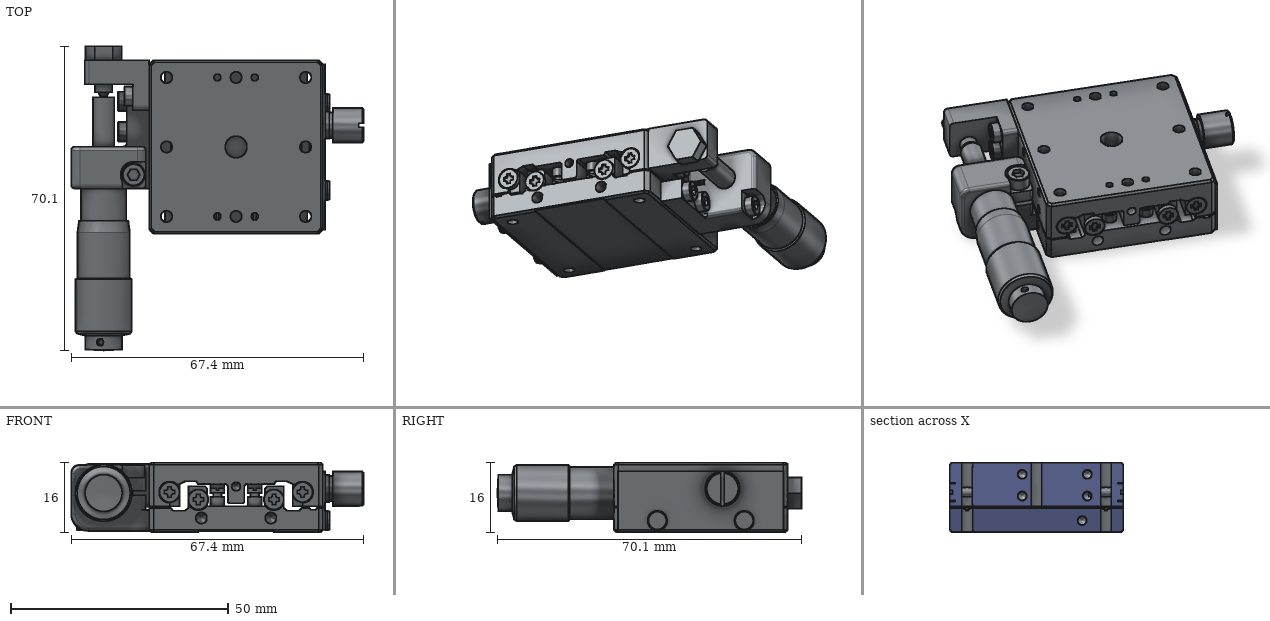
import cadquery as cq
import math


stage_side = 40.0
stage_height = 16.0
half_side = stage_side / 2
corner_chamfer = 1.0
rim_chamfer = 0.5
mount_pitch = 16.0
mount_hole_dia = 2.6
drill_point_angle = 118.0

table_bottom_z = 5.9
table_ceiling_z = 11.05
table_groove_z = 11.7
leg_inner_x = 13.0
boss_half_width = 1.9
boss_bottom_z = 6.6
boss_flare = 0.45
groove_inner_foot_x = 8.8
groove_inner_x = 9.2
groove_outer_x = 11.6
boss_corner_radius = 0.5
center_hole_dia = 5.0
center_hole_depth = 4.0
blind_hole_depth = 4.0
boss_hole_dia = 2.0
boss_hole_z = 10.5
boss_hole_depth = 2.5

floor_z = 6.0
base_edge_z = 5.55
trough_z = 4.95
trough_inner_x = 11.75
trough_outer_x = 14.5
trough_rim_x = 15.1
notch_inner_x = 16.8
notch_outer_x = 18.7
notch_depth = 0.4
underside_half_width = 8.7
underside_depth = 0.25
rail_inner_x = 6.65
rail_outer_x = 11.0
rail_top_z = 10.6
rail_chamfer = 0.6
rail_setback = 1.2
end_hole_dia = 2.6
end_hole_x = 8.0
end_hole_z = 3.25
end_hole_depth = 5.0

rail_head_dia = 4.6
rail_seat_dia = 4.9
table_screw_x = 15.3
table_screw_z = 9.2
rail_shank_dia = 2.2
rail_shank_length = 8.0
base_screw_x = 8.7
base_screw_z = 7.5
cross_length = 2.4
cross_width = 0.85
cross_core_side = 1.6
cross_depth = 0.6

post_x = 4.3
post_dia = 3.24
post_flange = 2.1
post_neck_dia = 2.0
post_neck = 1.0
post_head = 1.0
post_slot_width = 0.6
post_slot_depth = 0.5
post_access_dia = 1.6

cap_head_dia = 4.5
cap_head_height = 2.0
head_bevel = 0.15
cap_socket_flats = 2.0
socket_depth = 1.0
side_hole_dia = 2.0
side_hole_depth = 5.0
base_side_y = (10.5, 3.5, -3.5)
base_hole_y = -10.5
base_side_z = 2.65
table_side_z = (8.3, 13.3)
bracket_screw_y = 11.7
table_hole_y = (3.3, -11.7)

bracket_left_x = -34.9
bracket_arm_y = 14.4
bracket_leg_x = -23.75
bracket_leg_y = 8.5
bracket_bottom_z = 5.8
bracket_top_z = 15.7
bracket_radius = 1.0

axis_x = -30.5
axis_z = 9.0
bolt_flats = 7.25
bolt_end_y = 23.2
bolt_dia = 4.0
bolt_shoulder_y = 12.55
bolt_tip_dia = 2.4
bolt_tip_flat_dia = 1.4
bolt_tip_y = 11.55
spindle_dia = 5.0
spindle_end_y = 11.5

barrel_dia = 10.5
barrel_end_y = -17.0
sleeve_nose_dia = 11.4
sleeve_dia = 12.1
sleeve_shoulder_y = -19.6
sleeve_end_y = -30.2
thimble_dia = 13.0
thimble_lead = 0.3
thimble_shoulder_y = -42.4
thimble_rim_y = -43.0
thimble_rim_dia = 12.2
thimble_end_y = -43.45
knob_dia = 8.5
knob_rim_y = -46.65
knob_end_y = -46.87
knob_hole_dia = 1.57
knob_hole_y = -44.95
knob_hole_tilt = 11.0
knob_hole_depth = 2.0

holder_left_x = -38.0
holder_right_x = -20.8
holder_back_y = 0.1
holder_front_y = -9.6
holder_bottom_z = 0.25
holder_top_z = 15.5
holder_top_radius = 2.0
holder_bottom_radius = 4.0
holder_edge_radius = 0.9
plate_left_x = -25.2
plate_back_y = 12.9
plate_top_z = 5.1
plate_fillet = 0.8
seat_x = -34.7
seat_top_z = 5.3
seat_radius = 2.4
slit_width = 1.1
clamp_x = -23.6
clamp_y = -6.4
clamp_head_dia = 5.2
clamp_pocket_dia = 6.0
clamp_pocket_z = 12.5
clamp_socket_flats = 2.5

lock_thickness = 0.5
lock_half_length = 19.1
lock_bottom_z = 0.5
lock_top_z = 14.0
lock_screw_y = 10.0
lock_head_height = 1.1
lock_head_bevel_width = 0.2
lock_head_bevel_length = 0.6
clamp_knob_y = 5.0
clamp_knob_z = 10.0
collar_dia = 6.3
collar_end_x = 21.4
collar_neck_dia = 5.9
clamp_knob_x = 22.3
clamp_knob_end_x = 29.4
clamp_knob_dia = 8.0
clamp_knob_chamfer = 0.4
knob_slot_width = 0.9
knob_slot_depth = 1.1


def block(x0, x1, y0, y1, z0, z1):
    """Box between the given limits."""
    return cq.Workplane("XY").box(x1 - x0, y1 - y0, z1 - z0, centered=False).translate((x0, y0, z0))


def rod(diameter, length, start, direction):
    """Cylinder that starts at a point and runs along a direction."""
    return cq.Workplane(cq.Solid.makeCylinder(diameter / 2, length, cq.Vector(*start), cq.Vector(*direction)))


def hex_prism(flats, length, start, direction, x_axis):
    """Hexagonal prism with two of its corners along x_axis."""
    plane = cq.Plane(origin=start, xDir=x_axis, normal=direction)
    return cq.Workplane(plane).polygon(6, flats / math.cos(math.pi / 6)).extrude(length)


def extrude_y(points, y0, y1):
    """Closed (x, z) outline carried from y0 to y1."""
    return cq.Workplane("XZ", origin=(0, y1, 0)).polyline(points).close().extrude(y1 - y0)


def mirrored(points):
    """Outline made from its +X half and that half mirrored."""
    return points + [(-x, z) for x, z in reversed(points)]


def turned_y(profile):
    """Solid turned about the micrometer axis from (radius, y) points, first and last on the axis."""
    solid = cq.Workplane("XY").polyline(profile).close().revolve(360, (0, 0, 0), (0, 1, 0))
    return solid.translate((axis_x, 0, axis_z))


def drilled(diameter, depth, start, direction):
    """Drill shape with a conical point."""
    tip = diameter / 2 / math.tan(math.radians(drill_point_angle / 2))
    end = tuple(s + d * depth for s, d in zip(start, direction))
    cone = cq.Solid.makeCone(diameter / 2, 0, tip, cq.Vector(*end), cq.Vector(*direction))
    return rod(diameter, depth, start, direction).union(cq.Workplane(cone))


def stage_envelope():
    """Chamfered block that bounds both plates."""
    body = block(-half_side, half_side, -half_side, half_side, 0, stage_height)
    body = body.edges("|Z").chamfer(corner_chamfer)
    return body.faces("<Z or >Z").edges().chamfer(rim_chamfer)


def cap_screw(face_x, y, z):
    """Head with hex socket standing on a face that looks to -X."""
    head = rod(cap_head_dia, cap_head_height, (face_x, y, z), (-1, 0, 0))
    head = head.edges("<X").chamfer(head_bevel)
    socket_start = (face_x - cap_head_height, y, z)
    return head.cut(hex_prism(cap_socket_flats, socket_depth, socket_start, (1, 0, 0), (0, 0, 1)))


def cross_recess(x, y_face, z, inward):
    """Phillips recess sunk into an end face along the inward Y direction."""
    y0, y1 = sorted((y_face, y_face + inward * cross_depth))
    long, short = cross_length / 2, cross_width / 2
    upright = block(x - short, x + short, y0, y1, z - long, z + long)
    half_core = cross_core_side / 2
    core = block(-half_core, half_core, y0, y1, -half_core, half_core)
    core = core.rotate((0, 0, 0), (0, 1, 0), 45).translate((x, 0, z))
    return upright.union(core).union(block(x - long, x + long, y0, y1, z - short, z + short))


def spring_post(x, y, z, up):
    """Necked, slotted spring post standing on a surface, pointing along up (+1 or -1)."""
    axis = (0, 0, up)
    height = post_flange + post_neck + post_head
    post = rod(post_dia, post_flange, (x, y, z), axis)
    post = post.union(rod(post_neck_dia, height, (x, y, z), axis))
    post = post.union(rod(post_dia, post_head, (x, y, z + up * (height - post_head)), axis))
    z0, z1 = sorted((z + up * height, z + up * (height - post_slot_depth)))
    half_slot = post_slot_width / 2
    return post.cut(block(x - half_slot, x + half_slot, y - post_dia, y + post_dia, z0, z1))


def table_plate():
    half = [
        (boss_half_width, boss_bottom_z),
        (boss_half_width, table_ceiling_z - boss_flare),
        (boss_half_width + boss_flare, table_ceiling_z),
        (groove_inner_foot_x, table_ceiling_z),
        (groove_inner_x, table_groove_z),
        (groove_outer_x, table_groove_z),
        (leg_inner_x, table_ceiling_z),
        (leg_inner_x, table_bottom_z),
        (half_side, table_bottom_z),
        (half_side, stage_height),
    ]
    plate = extrude_y(mirrored(half), -half_side, half_side)
    boss_corners = cq.selectors.BoxSelector(
        (-boss_half_width - boss_corner_radius, -half_side, boss_bottom_z - boss_corner_radius),
        (boss_half_width + boss_corner_radius, half_side, boss_bottom_z + boss_corner_radius))
    plate = plate.edges("|Y").edges(boss_corners).fillet(boss_corner_radius)
    return plate.intersect(stage_envelope())


def drill_table(plate):
    down = (0, 0, -1)
    plate = plate.cut(rod(center_hole_dia, center_hole_depth, (0, 0, stage_height), down))
    for y in (-mount_pitch, 0, mount_pitch):
        for x in (-mount_pitch, mount_pitch):
            plate = plate.cut(rod(mount_hole_dia, stage_height, (x, y, stage_height), down))
    for y in (-mount_pitch, mount_pitch):
        plate = plate.cut(rod(mount_hole_dia, blind_hole_depth, (0, y, stage_height), down))
        for x in (-post_x, post_x):
            depth = stage_height - table_ceiling_z
            plate = plate.cut(rod(post_access_dia, depth, (x, y, stage_height), down))
    for y in table_hole_y:
        for z in table_side_z:
            plate = plate.cut(drilled(side_hole_dia, side_hole_depth, (-half_side, y, z), (1, 0, 0)))
    for side in (-1, 1):
        start = (0, side * half_side, boss_hole_z)
        plate = plate.cut(drilled(boss_hole_dia, boss_hole_depth, start, (0, -side, 0)))
    return plate


def add_table_rail_screws(plate):
    for end in (-1, 1):
        inward = (0, -end, 0)
        y0, y1 = sorted((end * half_side, end * (half_side - rail_setback)))
        for x in (-table_screw_x, table_screw_x):
            x0, x1 = sorted((x, math.copysign(leg_inner_x, x)))
            plate = plate.cut(block(x0, x1, y0, y1, table_bottom_z, table_ceiling_z))
            start = (x, end * half_side, table_screw_z)
            plate = plate.cut(rod(rail_seat_dia, rail_setback, start, inward))
            plate = plate.union(rod(rail_head_dia, rail_setback, start, inward))
            plate = plate.union(rod(rail_shank_dia, rail_shank_length, start, inward))
            plate = plate.cut(cross_recess(x, end * half_side, table_screw_z, -end))
    return plate


def stop_bracket():
    arm = block(bracket_left_x, -half_side, bracket_arm_y, half_side, bracket_bottom_z, bracket_top_z)
    arm = arm.edges("|Y and <X").fillet(bracket_radius)
    leg = block(bracket_leg_x, -half_side, bracket_leg_y, half_side, bracket_bottom_z, bracket_top_z)
    leg = leg.edges("|X and <Y").fillet(bracket_radius)
    bracket = arm.union(leg)
    for z in table_side_z:
        bracket = bracket.union(cap_screw(bracket_leg_x, bracket_screw_y, z))
    head_start = (axis_x, half_side, axis_z)
    bracket = bracket.union(hex_prism(bolt_flats, bolt_end_y - half_side, head_start, (0, 1, 0), (1, 0, 0)))
    tip = turned_y([
        (0, bracket_arm_y),
        (bolt_dia / 2, bracket_arm_y),
        (bolt_dia / 2, bolt_shoulder_y),
        (bolt_tip_dia / 2, bolt_shoulder_y),
        (bolt_tip_flat_dia / 2, bolt_tip_y),
        (0, bolt_tip_y),
    ])
    return bracket.union(tip)


def make_table():
    table = add_table_rail_screws(drill_table(table_plate()))
    for x in (-post_x, post_x):
        table = table.union(spring_post(x, mount_pitch, table_ceiling_z, -1))
    return table.union(stop_bracket())


def base_plate():
    half = [
        (underside_half_width, underside_depth),
        (underside_half_width, 0),
        (half_side, 0),
        (half_side, base_edge_z),
        (trough_rim_x, base_edge_z),
        (trough_outer_x, trough_z),
        (trough_inner_x, trough_z),
        (rail_outer_x, base_edge_z),
        (rail_outer_x, floor_z),
    ]
    plate = extrude_y(mirrored(half), -half_side, half_side).intersect(stage_envelope())
    notch = [
        (notch_inner_x, base_edge_z),
        (notch_inner_x + notch_depth, base_edge_z - notch_depth),
        (notch_outer_x - notch_depth, base_edge_z - notch_depth),
        (notch_outer_x, base_edge_z),
    ]
    return plate.cut(extrude_y(notch, -half_side, half_side))


def base_rail(side):
    outline = [
        (side * rail_outer_x, base_edge_z),
        (side * rail_outer_x, rail_top_z),
        (side * (rail_inner_x + rail_chamfer), rail_top_z),
        (side * rail_inner_x, rail_top_z - rail_chamfer),
        (side * rail_inner_x, base_edge_z),
    ]
    return extrude_y(outline, rail_setback - half_side, half_side - rail_setback)


def add_rails(plate):
    for side in (-1, 1):
        plate = plate.union(base_rail(side))
    for end in (-1, 1):
        inward = (0, -end, 0)
        for x in (-base_screw_x, base_screw_x):
            start = (x, end * half_side, base_screw_z)
            plate = plate.cut(rod(rail_seat_dia, rail_setback, start, inward))
            plate = plate.union(rod(rail_head_dia, rail_setback, start, inward))
            plate = plate.cut(cross_recess(x, end * half_side, base_screw_z, -end))
    return plate


def drill_base(plate):
    for x in (-mount_pitch, mount_pitch):
        for y in (-mount_pitch, mount_pitch):
            plate = plate.cut(rod(mount_hole_dia, stage_height, (x, y, 0), (0, 0, 1)))
    for x in (-end_hole_x, end_hole_x):
        for end in (-1, 1):
            start = (x, end * half_side, end_hole_z)
            plate = plate.cut(drilled(end_hole_dia, end_hole_depth, start, (0, -end, 0)))
    start = (-half_side, base_hole_y, base_side_z)
    return plate.cut(drilled(side_hole_dia, side_hole_depth, start, (1, 0, 0)))


def micrometer_holder():
    holder = block(holder_left_x, holder_right_x, holder_front_y, holder_back_y,
                   holder_bottom_z, holder_top_z)
    holder = holder.edges("|Y and >Z").fillet(holder_top_radius)
    holder = holder.edges("|Y and <X and <Z").fillet(holder_bottom_radius)
    holder = holder.faces("<Y or >Y").edges().fillet(holder_edge_radius)
    plate = block(plate_left_x, -half_side, holder_front_y, plate_back_y, holder_bottom_z, plate_top_z)
    holder = holder.union(plate.edges("|X and <Y and <Z").fillet(holder_edge_radius))

    fillet_x = plate_left_x - plate_fillet
    fillet_y = holder_back_y + plate_fillet
    corner = block(fillet_x, plate_left_x, holder_back_y, fillet_y, holder_bottom_z, plate_top_z)
    corner = corner.cut(rod(2 * plate_fillet, plate_top_z, (fillet_x, fillet_y, 0), (0, 0, 1)))
    holder = holder.union(corner)

    seat = block(holder_left_x, seat_x, base_side_y[2] - seat_radius, holder_back_y, 0, seat_top_z)
    seat = seat.edges("|X and <Y and >Z").fillet(seat_radius)
    holder = holder.cut(seat)

    slit = block(axis_x, -half_side, holder_front_y, holder_back_y,
                 axis_z - slit_width / 2, axis_z + slit_width / 2)
    holder = holder.cut(slit)

    depth = holder_top_z - clamp_pocket_z
    pocket = rod(clamp_pocket_dia, depth, (clamp_x, clamp_y, clamp_pocket_z), (0, 0, 1))
    pocket = pocket.union(block(clamp_x - clamp_head_dia / 2, -half_side, holder_front_y, clamp_y,
                                clamp_pocket_z, holder_top_z))
    pocket = pocket.union(block(clamp_x, -half_side, holder_front_y, clamp_y + clamp_pocket_dia / 2,
                                clamp_pocket_z, holder_top_z))
    holder = holder.cut(pocket)
    head = rod(clamp_head_dia, depth, (clamp_x, clamp_y, clamp_pocket_z), (0, 0, 1))
    head = head.edges(">Z").chamfer(head_bevel)
    socket_start = (clamp_x, clamp_y, holder_top_z)
    head = head.cut(hex_prism(clamp_socket_flats, socket_depth, socket_start, (0, 0, -1), (1, 0, 0)))
    holder = holder.union(head)

    for y, face_x in zip(base_side_y, (plate_left_x, plate_left_x, seat_x)):
        holder = holder.union(cap_screw(face_x, y, base_side_z))
    return holder


def micrometer():
    body = turned_y([
        (0, spindle_end_y),
        (spindle_dia / 2, spindle_end_y),
        (spindle_dia / 2, holder_back_y),
        (barrel_dia / 2, holder_back_y),
        (barrel_dia / 2, barrel_end_y),
        (sleeve_nose_dia / 2, barrel_end_y),
        (sleeve_dia / 2, sleeve_shoulder_y),
        (sleeve_dia / 2, sleeve_end_y),
        (thimble_dia / 2, sleeve_end_y - thimble_lead),
        (thimble_dia / 2, thimble_shoulder_y),
        (thimble_rim_dia / 2, thimble_rim_y),
        (knob_dia / 2, thimble_end_y),
        (knob_dia / 2, knob_rim_y),
        (0, knob_end_y),
    ])
    tilt = math.radians(knob_hole_tilt)
    outward = (-math.sin(tilt), 0, math.cos(tilt))
    inner_radius = knob_dia / 2 - knob_hole_depth
    start = (axis_x + outward[0] * inner_radius, knob_hole_y, axis_z + outward[2] * inner_radius)
    return body.cut(rod(knob_hole_dia, knob_dia, start, outward))


def lock_plate():
    face_x = half_side + lock_thickness
    lock = block(half_side, face_x, -lock_half_length, lock_half_length, lock_bottom_z, lock_top_z)
    for y in (-lock_screw_y, lock_screw_y):
        straight = lock_head_height - lock_head_bevel_length
        lock = lock.union(rod(cap_head_dia, straight, (face_x, y, base_side_z), (1, 0, 0)))
        bevel_start = cq.Vector(face_x + straight, y, base_side_z)
        top_radius = cap_head_dia / 2 - lock_head_bevel_width
        bevel = cq.Solid.makeCone(cap_head_dia / 2, top_radius, lock_head_bevel_length,
                                  bevel_start, cq.Vector(1, 0, 0))
        lock = lock.union(cq.Workplane(bevel))
    return lock


def clamping_knob():
    def turned(diameter, x0, x1):
        return rod(diameter, x1 - x0, (x0, clamp_knob_y, clamp_knob_z), (1, 0, 0))

    grip = turned(clamp_knob_dia, clamp_knob_x, clamp_knob_end_x).edges(">X").chamfer(clamp_knob_chamfer)
    half_slot = knob_slot_width / 2
    slot = block(clamp_knob_end_x - knob_slot_depth, clamp_knob_end_x, clamp_knob_y - half_slot,
                 clamp_knob_y + half_slot, 0, stage_height)
    knob = grip.cut(slot).union(turned(collar_neck_dia, collar_end_x, clamp_knob_x))
    return knob.union(turned(collar_dia, half_side + lock_thickness, collar_end_x))


def make_base():
    base = drill_base(add_rails(base_plate()))
    for x in (-post_x, post_x):
        base = base.union(spring_post(x, -mount_pitch, floor_z, 1))
    base = base.union(micrometer_holder()).union(micrometer())
    return base.union(lock_plate()).union(clamping_knob())


table = make_table()
base = make_base()
result = cq.Compound.makeCompound([*table.solids().vals(), *base.solids().vals()])